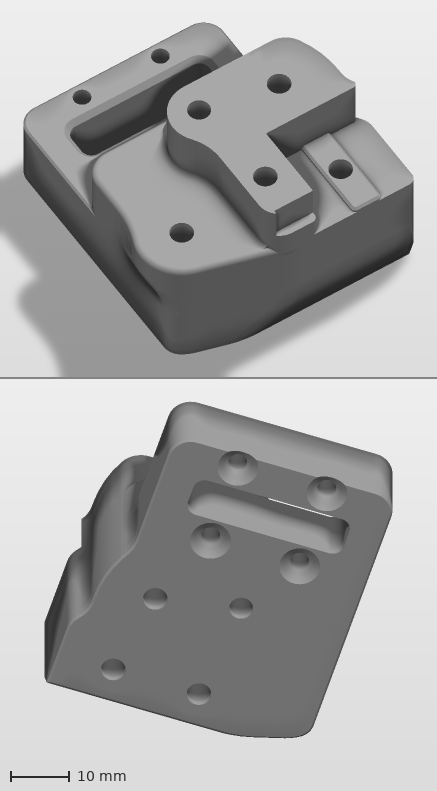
import cadquery as cq
import math

bottom_chamfer = 0.4
plate_top = 14.05
body_top = 23.75
notch_floor = 24.0
side_relief_floor = 27.75
pedestal_top = 34.0

plate_depth = 40.0
body_left = 20.65
pedestal_left = 23.0
right_side = 55.3
back_side = 45.9
back_right_radius = 1.6

plate_corner_radius = 4.0
plate_chamfer = 0.4
plate_join_radius = 6.65
slot_size = (6.95, 28.0)
slot_center = (10.3, 19.95)
slot_corner_radius = 2.0
slot_chamfer = 1.0
screw_centers = [(x, y) for x in (2.8, 17.75) for y in (11.95, 27.95)]
screw_diameter = 3.2
screw_head_diameter = 6.95

body_corner_radius = 4.9
body_back_radius = 7.3
lobe_center = (42.45, 6.3)
lobe_radius = 8.4
lobe_corner = (47.9, -5.15)
lobe_root_x = 35.6
lobe_root_radius = 18.8
rim_radius = 1.0
side_taper_y = 20.75
side_blend_radius = 9.95

back_edge = [
    (40.15, back_side, 4.0),
    (36.9, 43.55, 5.0),
    (29.75, 43.55, 19.35),
]
back_edge_slope = math.tan(math.radians(27))

scoop_center_x = 38.0
scoop_center_z = 17.8
scoop_reach = 6.3
scoop_radius = 9.95
scoop_angle = math.radians(26)
scoop_edge_radius = 3.3
scoop_overrun = 2.2

undercut_start = 8.85
undercut_bottom_x = 52.7
undercut_radius = 22.15

pedestal_front = 16.3
pedestal_nose_y = 6.95
pedestal_nose_radius = 6.3
pedestal_waist_x = 35.75
pedestal_waist_radius = 9.95
pedestal_right_radius = 4.1
pedestal_back_radius = 4.65
foot_radius = 0.95
notch_corner = (39.05, 25.7)
notch_tip_y = 44.4
notch_tip_radius = 0.85
notch_end_radius = 1.1
side_relief_x = 53.65
side_relief_start_y = 17.8
rib_y = (32.95, 38.85)
rib_height = 0.9
rib_chamfer = 0.45
rib_corner_radius = 0.9
pedestal_holes = [
    (31.4, 33.4, 4.2),
    (46.7, 35.95, 4.2),
    (46.7, 20.6, 4.2),
    (28.6, 18.9, 4.1),
]

blind_diameter = 4.2
blind_depth = 9.95
pilot_diameter = 3.6
pilot_depth = 12.15

overshoot = 5.55
margin = 0.05


def rounded_outline(corners, plane="XY", origin=(0, 0, 0)):
    """Closed outline through (x, y, radius) corners; radius 0 keeps a corner sharp."""
    spans = []
    for i, (x, y, radius) in enumerate(corners):
        before = corners[i - 1]
        after = corners[(i + 1) % len(corners)]
        to_before = cq.Vector(before[0] - x, before[1] - y).normalized()
        to_after = cq.Vector(after[0] - x, after[1] - y).normalized()
        corner = cq.Vector(x, y)
        half_angle = to_before.getAngle(to_after) / 2
        setback = radius / math.tan(half_angle)
        bulge = radius / math.sin(half_angle) - radius
        middle = corner + (to_before + to_after).normalized() * bulge
        spans.append((corner + to_before * setback, middle, corner + to_after * setback))
    outline = cq.Workplane(plane, origin=origin).moveTo(*spans[0][2].toTuple()[:2])
    for start, middle, end in spans[1:] + spans[:1]:
        outline = outline.lineTo(*start.toTuple()[:2])
        if (end - start).Length > 0:
            outline = outline.threePointArc(middle.toTuple()[:2], end.toTuple()[:2])
    return outline.close()


def back_corner(x, radius):
    """Corner where the sloping end of the back edge meets a left wall at x."""
    start_x, start_y, _ = back_edge[-1]
    return (x, start_y - (start_x - x) * back_edge_slope, radius)


def body_outline():
    return rounded_outline(
        [
            (body_left, 0, body_corner_radius),
            (lobe_root_x, 0, lobe_root_radius),
            (*lobe_corner, lobe_radius),
            (right_side, side_taper_y, 0),
            (right_side, back_side, back_right_radius),
            *back_edge,
            back_corner(body_left, body_back_radius),
        ]
    )


def pedestal_outline():
    return rounded_outline(
        [
            (pedestal_left, pedestal_nose_y, pedestal_nose_radius),
            (pedestal_waist_x, pedestal_front, pedestal_waist_radius),
            (right_side, pedestal_front, pedestal_right_radius),
            (right_side, back_side, back_right_radius),
            *back_edge,
            back_corner(pedestal_left, pedestal_back_radius),
        ]
    )


def make_plate():
    plate = cq.Workplane().box(body_left + body_corner_radius, plate_depth, plate_top, centered=False)
    plate = plate.edges("|Z and <X").fillet(plate_corner_radius)
    return plate.faces(">Z").edges("not >X").chamfer(plate_chamfer)


def make_body():
    body = body_outline().extrude(body_top).cut(make_undercut())
    right_edge_middle = (right_side, side_taper_y, body_top / 2)
    body = body.edges(cq.selectors.NearestToPointSelector(right_edge_middle)).fillet(side_blend_radius)
    return body.faces(">Z").edges().fillet(rim_radius)


def scoop_profile(workplane, inner):
    """Scoop section: distance from the scoop centre against depth in front of the wall y = 0."""
    arc_drop = scoop_radius * (1 - math.cos(scoop_angle))
    arc_end = scoop_reach - scoop_radius * math.sin(scoop_angle)
    half = scoop_angle / 2
    arc_middle = (
        scoop_reach - scoop_radius * math.sin(half),
        -scoop_radius * (1 - math.cos(half)),
    )
    inner_drop = arc_drop + (arc_end - inner) * math.tan(scoop_angle)
    outer = scoop_center_z + overshoot
    return (
        workplane.moveTo(scoop_reach, 0)
        .threePointArc(arc_middle, (arc_end, -arc_drop))
        .lineTo(inner, -inner_drop)
        .lineTo(inner, -overshoot)
        .lineTo(outer, -overshoot)
        .lineTo(outer, 0)
        .close()
    )


def cut_scoop(body):
    """Undercut the lobe: a straight run to the right, turning up around the scoop centre on the left."""
    center = (scoop_center_x, 0, scoop_center_z)
    section = cq.Plane(origin=center, xDir=(0, 0, -1), normal=(1, 0, 0))
    straight = scoop_profile(cq.Workplane(section), -scoop_overrun).extrude(right_side - scoop_center_x)
    turn = scoop_profile(cq.Workplane(section), 0).revolve(90, (0, 0, 0), (0, 1, 0))
    body = body.cut(straight).cut(turn)
    low = scoop_center_z - scoop_reach - margin
    high = body_top - rim_radius - margin
    zone = cq.selectors.BoxSelector(
        (lobe_center[0] - lobe_radius / 2, -overshoot, low), (right_side, margin, high), boundingbox=True
    )
    return body.edges(zone).fillet(scoop_edge_radius)


def make_undercut():
    corners = [
        (right_side, pedestal_top, 0),
        (right_side, undercut_start, undercut_radius),
        (undercut_bottom_x, 0, 0),
        (right_side + overshoot, 0, 0),
        (right_side + overshoot, pedestal_top, 0),
    ]
    return rounded_outline(corners, "XZ", (0, back_side + overshoot, 0)).extrude(back_side + 3 * overshoot)


def make_pedestal():
    pedestal = pedestal_outline().extrude(pedestal_top - body_top + rim_radius)
    pedestal = pedestal.translate((0, 0, body_top - rim_radius))
    return pedestal.union(make_foot())


def make_foot():
    """Concave rounding around the pedestal, cast in a mould with a rounded hole edge."""
    mould_size = 4 * right_side
    mould_height = 3 * foot_radius
    mould = cq.Workplane().rect(mould_size, mould_size).extrude(mould_height)
    mould = mould.cut(pedestal_outline().extrude(mould_height))
    hole = cq.selectors.BoxSelector((0, 0, -margin), (right_side + margin, back_side + margin, margin))
    mould = mould.faces("<Z").edges(hole).fillet(foot_radius)
    foot = body_outline().offset2D(-rim_radius).extrude(foot_radius).cut(mould)
    return foot.translate((0, 0, body_top))


def make_notch():
    x, y = notch_corner
    far_x = right_side + overshoot
    far_y = back_side + overshoot
    corners = [
        (x, y, 0),
        (right_side, y, notch_end_radius),
        (right_side, y - 2 * notch_end_radius, 0),
        (far_x, y - 2 * notch_end_radius, 0),
        (far_x, far_y, 0),
        (x - overshoot, far_y, 0),
        (x - overshoot, notch_tip_y, 0),
        (x, notch_tip_y, notch_tip_radius),
    ]
    return rounded_outline(corners, origin=(0, 0, notch_floor)).extrude(pedestal_top)


def make_rib():
    start_x = notch_corner[0]
    rib = cq.Workplane(origin=(start_x, rib_y[0], notch_floor)).box(
        right_side - start_x, rib_y[1] - rib_y[0], rib_height, centered=False
    )
    rib = rib.edges("|Z and >X").fillet(rib_corner_radius)
    return rib.faces(">Z").edges("not <X").chamfer(rib_chamfer)


def make_side_relief():
    return cq.Workplane(origin=(side_relief_x, side_relief_start_y, side_relief_floor)).box(
        overshoot, back_side, pedestal_top, centered=False
    )


def through_hole(x, y, diameter):
    return cq.Workplane(origin=(x, y, 0)).circle(diameter / 2).extrude(pedestal_top)


def make_screw_hole(x, y):
    """Through hole with a 90 degree countersink in the bottom face."""
    head_radius = screw_head_diameter / 2
    sink = cq.Solid.makeCone(head_radius, 0, head_radius, cq.Vector(x, y, 0))
    return through_hole(x, y, screw_diameter).union(cq.Workplane(sink))


def make_blind_hole():
    hole = cq.Workplane(origin=(*lobe_center, body_top - blind_depth)).circle(blind_diameter / 2)
    pilot = cq.Workplane(origin=(*lobe_center, body_top - pilot_depth)).circle(pilot_diameter / 2)
    return hole.extrude(blind_depth).union(pilot.extrude(pilot_depth))


def make_slot():
    width, length = slot_size
    flare = 2 * slot_chamfer
    slot = cq.Workplane().rect(width, length).extrude(plate_top)
    slot = slot.edges("|Z").fillet(slot_corner_radius)
    mouth = cq.Workplane().rect(width + flare, length + flare).extrude(2 * slot_chamfer)
    mouth = mouth.edges("|Z").fillet(slot_corner_radius + slot_chamfer)
    mouth = mouth.faces("<Z").chamfer(slot_chamfer)
    mouth = mouth.translate((0, 0, plate_top - slot_chamfer))
    return slot.union(mouth).translate((*slot_center, 0))


def blend_plate_join(part):
    """Round the inner corner where the body leaves the plate's back wall."""
    zone = cq.selectors.BoxSelector(
        (body_left, plate_depth - margin, 0),
        (body_left + body_corner_radius, plate_depth + margin, plate_top),
    )
    return part.edges("|Z").edges(zone).fillet(plate_join_radius)


base = cut_scoop(make_body()).union(make_plate())
base = blend_plate_join(base)
base = base.faces("<Z").chamfer(bottom_chamfer)

result = base.union(make_pedestal())
result = result.cut(make_notch()).union(make_rib()).cut(make_side_relief())
result = result.cut(make_slot()).cut(make_blind_hole())
for x, y in screw_centers:
    result = result.cut(make_screw_hole(x, y))
for x, y, diameter in pedestal_holes:
    result = result.cut(through_hole(x, y, diameter))